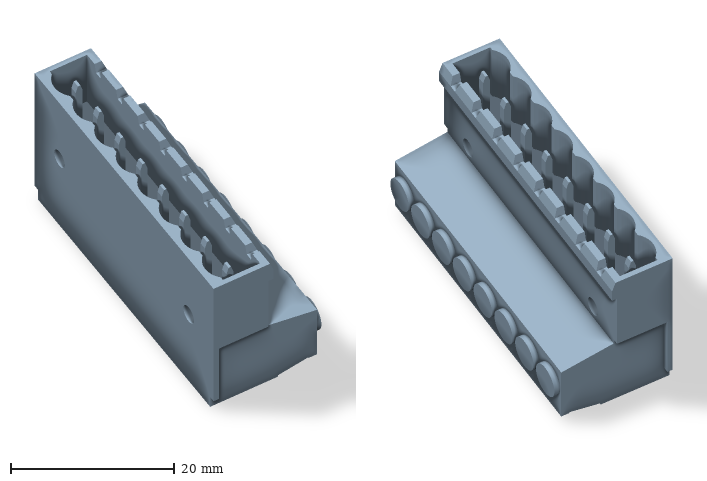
import cadquery as cq

pole_count = 8
pitch = 5.08
pole_xs = [(i - (pole_count - 1) / 2) * pitch for i in range(pole_count)]

header_width = 42.25
header_back = 7.9
header_bottom = 10.8
total_height = 22.0

latch_tip = 8.6
latch_bottom = 19.0
latch_bevel_bottom = 20.7
latch_top_back = 8.1

skirt_thickness = 0.75
skirt_bottom = 1.75

body_width = pole_count * pitch
body_back = 15.35
body_slope_top = 10.1
body_back_top = 8.9
body_back_bottom = 0.9
body_base_back = 9.75
lip_front = 14.15
lip_height = 0.15
under_slope_low = 0.25

cavity_floor = 13.6
cavity_front = 1.75
cavity_back = 7.1
cavity_side_wall = 0.7
scallop_width = 4.3
scallop_depth = 0.9

notch_floor = latch_bevel_bottom
notch_bottom_width = 1.0
notch_top_width = 1.7

pin_size = 1.0
pin_y = 4.07
pin_top = 21.0
pin_taper_height = 1.0
pin_tip_thickness = 0.36

screw_diameter = 4.5
screw_z = 5.55
screw_back = 16.15

hole_diameter = 2.5
hole_x = 3 * pitch
hole_z = 12.0


def extrude_along_x(points, width):
    """Prism of a (Y, Z) outline, centred on X = 0."""
    return cq.Workplane("YZ").polyline(points).close().extrude(width / 2, both=True)


def make_header():
    outline = [
        (0, skirt_bottom),
        (skirt_thickness, skirt_bottom),
        (skirt_thickness, header_bottom),
        (header_back, header_bottom),
        (header_back, latch_bottom),
        (latch_tip, latch_bottom),
        (latch_tip, latch_bevel_bottom),
        (latch_top_back, total_height),
        (0, total_height),
    ]
    return extrude_along_x(outline, header_width)


def make_body():
    outline = [
        (0, 0),
        (body_base_back, 0),
        (body_base_back, under_slope_low),
        (lip_front, body_back_bottom + lip_height),
        (lip_front, body_back_bottom),
        (body_back, body_back_bottom),
        (body_back, body_back_top),
        (header_back, body_slope_top),
        (header_back, header_bottom),
        (0, header_bottom),
    ]
    return extrude_along_x(outline, body_width)


def make_cavity():
    """Rectangular well whose front wall is scalloped in front of each contact."""
    half_width = header_width / 2 - cavity_side_wall
    outline = cq.Workplane("XY", origin=(0, 0, cavity_floor)).moveTo(-half_width, cavity_front)
    for x in pole_xs:
        outline = outline.lineTo(x - scallop_width / 2, cavity_front)
        outline = outline.threePointArc(
            (x, cavity_front - scallop_depth),
            (x + scallop_width / 2, cavity_front),
        )
    outline = outline.lineTo(half_width, cavity_front)
    outline = outline.lineTo(half_width, cavity_back).lineTo(-half_width, cavity_back).close()
    return outline.extrude(total_height - cavity_floor)


def make_notch(x):
    """Tapered notch through the back rim, wider at the top."""
    outline = [
        (x - notch_bottom_width / 2, notch_floor),
        (x + notch_bottom_width / 2, notch_floor),
        (x + notch_top_width / 2, total_height),
        (x - notch_top_width / 2, total_height),
    ]
    profile = cq.Workplane("XZ", origin=(0, latch_tip, 0)).polyline(outline).close()
    return profile.extrude(latch_tip - cavity_back)


def make_pin(x):
    """Square pin standing on the cavity floor, its tip tapered front and back."""
    taper_start = pin_top - pin_taper_height
    outline = [
        (pin_y - pin_size / 2, cavity_floor),
        (pin_y + pin_size / 2, cavity_floor),
        (pin_y + pin_size / 2, taper_start),
        (pin_y + pin_tip_thickness / 2, pin_top),
        (pin_y - pin_tip_thickness / 2, pin_top),
        (pin_y - pin_size / 2, taper_start),
    ]
    return extrude_along_x(outline, pin_size).translate((x, 0, 0))


def make_screw_head(x):
    plane = cq.Workplane("XZ", origin=(x, screw_back, screw_z))
    return plane.circle(screw_diameter / 2).extrude(screw_back - body_back)


def make_mounting_hole(x):
    plane = cq.Workplane("XZ", origin=(x, header_back, hole_z))
    return plane.circle(hole_diameter / 2).extrude(header_back)


result = make_header().union(make_body()).cut(make_cavity())
for pole_x in pole_xs:
    result = result.cut(make_notch(pole_x))
    result = result.union(make_pin(pole_x))
    result = result.union(make_screw_head(pole_x))
for side in (-1, 1):
    result = result.cut(make_mounting_hole(side * hole_x))